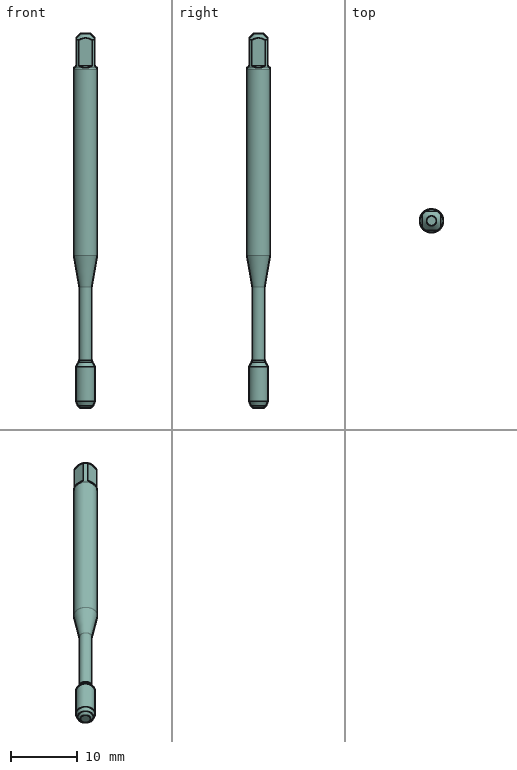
import cadquery as cq

total_length = 56.2
shank_diameter = 3.58
neck_diameter = 1.92

tip_diameter = 1.5
thread_diameter = 2.91
thread_bottom = 0.4
thread_bottom_diameter = 2.36
thread_top = 6.88
thread_top_diameter = 2.18
thread_bevel_length = 0.68

neck_flare_length = 0.34

taper_bottom = 18.18
taper_top = 22.95

square_width = 2.83
square_corner_diameter = 3.44
square_sides = 4
shoulder_height = 50.84
shoulder_chamfer_length = 0.3
square_bottom = 51.35
end_face_diameter = 1.46
end_chamfer = (square_corner_diameter - end_face_diameter) / 2


def revolve_profile(diameters_and_heights):
    """Solid of revolution about Z from (diameter, height) points, listed from bottom to top."""
    bottom = diameters_and_heights[0][1]
    top = diameters_and_heights[-1][1]
    points = [(diameter / 2, height) for diameter, height in diameters_and_heights]
    profile = cq.Workplane("XZ").polyline([(0, bottom), *points, (0, top)]).close()
    return profile.revolve(360, (0, 0, 0), (0, 1, 0))


def make_flat_cutter():
    """Stock outside the -Y flat of the square, ending below in a 45 degree run-out ramp."""
    flat = square_width / 2
    outside = shank_diameter
    ramp_drop = outside - flat
    return (
        cq.Workplane("YZ")
        .moveTo(-flat, square_bottom)
        .lineTo(-outside, square_bottom - ramp_drop)
        .lineTo(-outside, total_length)
        .lineTo(-flat, total_length)
        .close()
        .extrude(shank_diameter, both=True)
    )


def make_shank():
    """Neck, taper, shank and driving square in one piece, standing on the threaded head."""
    body = revolve_profile([
        (thread_top_diameter, thread_top),
        (neck_diameter, thread_top + neck_flare_length),
        (neck_diameter, taper_bottom),
        (shank_diameter, taper_top),
        (shank_diameter, shoulder_height),
        (square_corner_diameter, shoulder_height + shoulder_chamfer_length),
        (square_corner_diameter, total_length - end_chamfer),
        (end_face_diameter, total_length),
    ])
    cutter = make_flat_cutter()
    for side in range(square_sides):
        turn = side * 360 / square_sides
        body = body.cut(cutter.rotate((0, 0, 0), (0, 0, 1), turn))
    return body


def make_threaded_head():
    """Plain round envelope of the thread, with its tip and end bevels."""
    return revolve_profile([
        (tip_diameter, 0),
        (thread_bottom_diameter, thread_bottom),
        (thread_diameter, thread_bottom + thread_bevel_length),
        (thread_diameter, thread_top - thread_bevel_length),
        (thread_top_diameter, thread_top),
    ])


shank = make_shank()
threaded_head = make_threaded_head()

result = cq.Compound.makeCompound([shank.val(), threaded_head.val()])